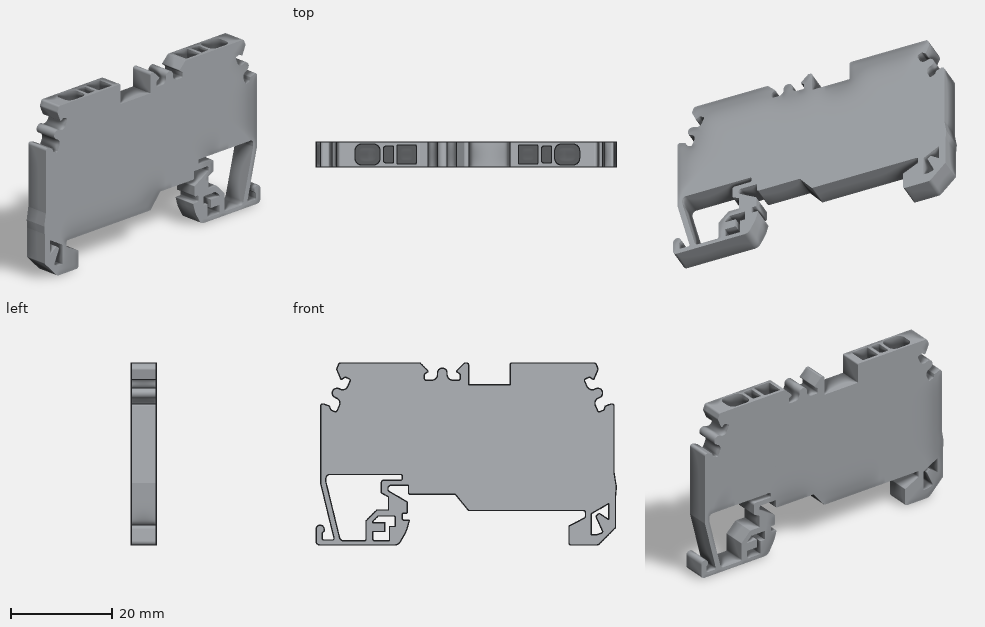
import cadquery as cq
import math


length = 59.35
thickness = 5.0
height = 36.0

body_left = 0.9
body_width = 58.0
body_right = body_left + body_width
body_center = body_left + body_width / 2

sharp = 0.0
tiny = 0.15
small = 0.3
medium = 0.5
large = 0.8

shortest_line = 1e-6

seat_depth = 3.4
seat_half_width = 3.53
seat_lip_half_gap = 2.7
seat_lip_bottom = 1.2
seat_lip_tip = 1.7
nose_radius = 0.96
nose_height = 2.37
nose_foot_radius = 1.1

middle_seat_center = 24.95
corner_seat_center = (5.43, 29.48)
corner_seat_angle = 66.3
corner_lip_half_gap = 2.95
corner_wall_z = 28.15
shoulder_x = 4.05
shoulder_z = 34.75
top_left_x = 4.55

recess_left = 30.2
recess_right = 38.35
recess_floor = 31.73

step_z = 10.04
step_left = 18.25
step_right = 27.5
rail_top_z = 6.8
rail_top_left = 30.14

base_thickness = 0.87
hook_width = 1.63
hook_height = 3.96
hook_radius = hook_width / 2
hook_neck_x = 1.25
hook_neck_z = 2.45
hook_lip_z = 2.75
hook_floor = 1.03
strut_top_z = 12.2
strut_foot_x = 3.62
catch_slot_top = 11.8
catch_slot_end = 14.25
catch_slot_end_z = 10.75
catch_x = 18.07
catch_top_z = 8.52
catch_bottom_z = 6.28
groove_x = 17.05
toe_x = 18.47
toe_z = 4.95
toe_side = (17.9, 2.85)
toe_side_radius = 6.0
toe_bottom_x = 16.3
toe_bottom_radius = 1.5

foot_left = 49.93
foot_right = 59.2
foot_slope_z = 3.78
foot_chamfer_x = 55.75
foot_chamfer_z = 3.5
foot_chamfer_radius = 1.0
rail_groove_end = 53.18
rail_groove_end_z = 5.45
bulge_top_z = 14.2
bulge_peak_z = 11.5
bulge_bottom_z = 9.8

opening_depth = 10.0
opening_y = thickness / 2
round_opening_offset = 19.72
round_opening_size = (4.95, 4.15)
round_opening_corner = 1.35
test_opening_offset = 15.6
test_opening_size = (2.0, 3.3)
test_opening_round = 0.5
test_opening_small_round = 0.2
square_opening_offset = 12.0
square_opening_size = (3.8, 3.8)
square_opening_corner = 0.2


def rounded_wire(corners):
    """Closed XZ outline through (x, z, radius) corners; each corner is rounded by its radius."""
    trimmed = []
    for i, (x, z, radius) in enumerate(corners):
        here = cq.Vector(x, z)
        before = cq.Vector(*corners[i - 1][:2])
        after = cq.Vector(*corners[(i + 1) % len(corners)][:2])
        back = (before - here).normalized()
        ahead = (after - here).normalized()
        if radius == sharp:
            trimmed.append((here, None, here))
            continue
        half_angle = back.getAngle(ahead) / 2
        tangent_length = radius / math.tan(half_angle)
        middle_distance = radius / math.sin(half_angle) - radius
        middle = here + (back + ahead).normalized() * middle_distance
        trimmed.append((here + back * tangent_length, middle, here + ahead * tangent_length))

    wire = cq.Workplane("XZ").moveTo(*trimmed[0][2].toTuple()[:2])
    end = trimmed[0][2]
    for start, middle, finish in trimmed[1:] + trimmed[:1]:
        if (start - end).Length > shortest_line:
            wire = wire.lineTo(start.x, start.y)
        if middle is not None:
            wire = wire.threePointArc((middle.x, middle.y), (finish.x, finish.y))
        end = finish
    return wire.close()


def prism(corners):
    """Rounded outline extruded over the full thickness, from Y = 0 to +Y."""
    return rounded_wire(corners).extrude(-thickness)


def mirrored(corners):
    """Corners mirrored about the middle of the body, in reverse order."""
    return [(2 * body_center - x, z, r) for x, z, r in reversed(corners)]


def placed(corners, origin, angle):
    """Corners turned by an angle in degrees and moved to an origin."""
    c = math.cos(math.radians(angle))
    s = math.sin(math.radians(angle))
    return [(origin[0] + c * x - s * z, origin[1] + s * x + c * z, r) for x, z, r in corners]


def seat_corners():
    """Marker seat from lip tip to lip tip; the floor lies on z = 0 with the nose at x = 0."""
    right_half = [
        (nose_radius, nose_height, nose_radius),
        (nose_radius, 0, nose_foot_radius),
        (seat_half_width, 0, small),
        (seat_half_width, seat_lip_bottom, small),
        (seat_lip_half_gap, seat_lip_tip, tiny),
    ]
    left_half = [(-x, z, r) for x, z, r in reversed(right_half)]
    return left_half + right_half


def corner_seat():
    """Tilted marker seat at the upper left corner, from the side wall up to the top edge."""
    lower_lip = (-corner_lip_half_gap, seat_lip_tip, tiny)
    seat = [lower_lip, *seat_corners()[1:]]
    return [
        (body_left, corner_wall_z, medium),
        *placed(seat, corner_seat_center, corner_seat_angle),
        (shoulder_x, shoulder_z, medium),
        (top_left_x, height, medium),
    ]


def middle_seat():
    """Upright marker seat in the top edge with 45 degree lead-ins above its lips."""
    mouth = seat_lip_half_gap + seat_depth - seat_lip_tip
    corners = [(-mouth, seat_depth, tiny), *seat_corners(), (mouth, seat_depth, tiny)]
    return placed(corners, (middle_seat_center, height - seat_depth), 0)


def top_recess():
    return [
        (recess_left, height, medium),
        (recess_left, recess_floor, sharp),
        (recess_right, recess_floor, sharp),
        (recess_right, height, small),
    ]


def right_foot():
    """Right side from the bulge down, then back along the underside to the step of the body."""
    return [
        (body_right, bulge_top_z, sharp),
        (length, bulge_peak_z, sharp),
        (foot_right, bulge_bottom_z, sharp),
        (foot_right, foot_chamfer_z, small),
        (foot_chamfer_x, 0, foot_chamfer_radius),
        (foot_left, 0, medium),
        (foot_left, foot_slope_z, tiny),
        (rail_groove_end, rail_groove_end_z, small),
        (rail_groove_end, rail_top_z, small),
        (rail_top_left, rail_top_z, small),
        (step_right, step_z, tiny),
        (step_left, step_z, small),
    ]


def left_foot():
    """Spring catch, toe, base and hook of the left foot, ending at the top of the strut."""
    return [
        (step_left, catch_slot_top, sharp),
        (catch_slot_end, catch_slot_top, medium),
        (catch_slot_end, catch_slot_end_z, small),
        (catch_x, catch_top_z, tiny),
        (catch_x, catch_bottom_z, small),
        (groove_x, catch_bottom_z, tiny),
        (groove_x, toe_z, small),
        (toe_x, toe_z, tiny),
        (*toe_side, toe_side_radius),
        (toe_bottom_x, 0, toe_bottom_radius),
        (0, 0, large),
        (0, hook_height, hook_radius),
        (hook_width, hook_height, hook_radius),
        (hook_width, hook_lip_z, sharp),
        (hook_neck_x, hook_neck_z, tiny),
        (hook_neck_x, hook_floor, small),
        (strut_foot_x, hook_floor, small),
        (body_left, strut_top_z, sharp),
    ]


def strut_window():
    """Large opening that frees the strut and the catch of the left foot."""
    top = 13.95
    left = 1.97
    slot_end = 17.02
    slot_bottom = 12.84
    arm_left = 12.88
    arm_bottom = 10.3
    neck_x = 14.27
    neck_top = 9.55
    block_top = 6.98
    block_left = 9.84
    block_chamfer = 2.19
    strut_knee_z = 12.5
    strut_bottom_x = 4.82
    return [
        (left, top, large),
        (slot_end, top, small),
        (slot_end, slot_bottom, small),
        (arm_left, slot_bottom, medium),
        (arm_left, arm_bottom, tiny),
        (neck_x, neck_top, sharp),
        (neck_x, block_top, sharp),
        (block_left + block_chamfer, block_top, tiny),
        (block_left, block_top - block_chamfer, tiny),
        (block_left, base_thickness, small),
        (strut_bottom_x, base_thickness, large),
        (left, strut_knee_z, small),
    ]


def block_window():
    """C-shaped opening around a tongue inside the block of the left foot."""
    left = 11.25
    top = 5.72
    right = 15.62
    chamfer = 1.0
    ledge_x = 14.5
    ledge_z = 3.73
    tongue_end = 13.6
    tongue_bottom = 2.66
    tongue_top = 4.45
    return [
        (left, top - chamfer, sharp),
        (left + chamfer, top, sharp),
        (right, top, tiny),
        (right, ledge_z, sharp),
        (ledge_x, ledge_z, sharp),
        (ledge_x, base_thickness, sharp),
        (left, base_thickness, small),
        (left, tongue_bottom, sharp),
        (tongue_end, tongue_bottom, sharp),
        (tongue_end, tongue_top, sharp),
        (left, tongue_top, sharp),
    ]


def right_window():
    """Opening in the right foot with a pointed tongue reaching into it."""
    left = 54.37
    right = 57.8
    bottom = 2.1
    left_top = 6.2
    right_top = 8.18
    tongue_root_z = 5.05
    tongue_top = (55.94, 6.32)
    tongue_tip = (55.25, 5.72)
    tongue_foot = (56.7, 2.5)
    floor_bend_x = 55.5
    return [
        (left, left_top, tiny),
        (right, right_top, sharp),
        (right, tongue_root_z, sharp),
        (*tongue_top, tiny),
        (*tongue_tip, tiny),
        (*tongue_foot, small),
        (floor_bend_x, bottom, sharp),
        (left, bottom, sharp),
    ]


def opening(x, size):
    """Blind rectangular opening cut down from the top face."""
    base = cq.Workplane("XY", origin=(x, opening_y, height - opening_depth))
    return base.rect(*size).extrude(opening_depth)


def conductor_openings(side):
    """Round-cornered, test and square openings on one side (-1 left, +1 right) of the body."""
    wire_entry = opening(body_center + side * round_opening_offset, round_opening_size)
    test_entry = opening(body_center + side * test_opening_offset, test_opening_size)
    square_entry = opening(body_center + side * square_opening_offset, square_opening_size)
    test_entry = test_entry.edges("|Z and <X").fillet(test_opening_round)
    test_entry = test_entry.edges("|Z and >X").fillet(test_opening_small_round)
    return [
        wire_entry.edges("|Z").fillet(round_opening_corner),
        test_entry,
        square_entry.edges("|Z").fillet(square_opening_corner),
    ]


outline = [
    *corner_seat(),
    *middle_seat(),
    *top_recess(),
    *mirrored(corner_seat()),
    *right_foot(),
    *left_foot(),
]

result = prism(outline)
for window in (strut_window(), block_window(), right_window()):
    result = result.cut(prism(window))
for body_side in (-1, 1):
    for cutter in conductor_openings(body_side):
        result = result.cut(cutter)